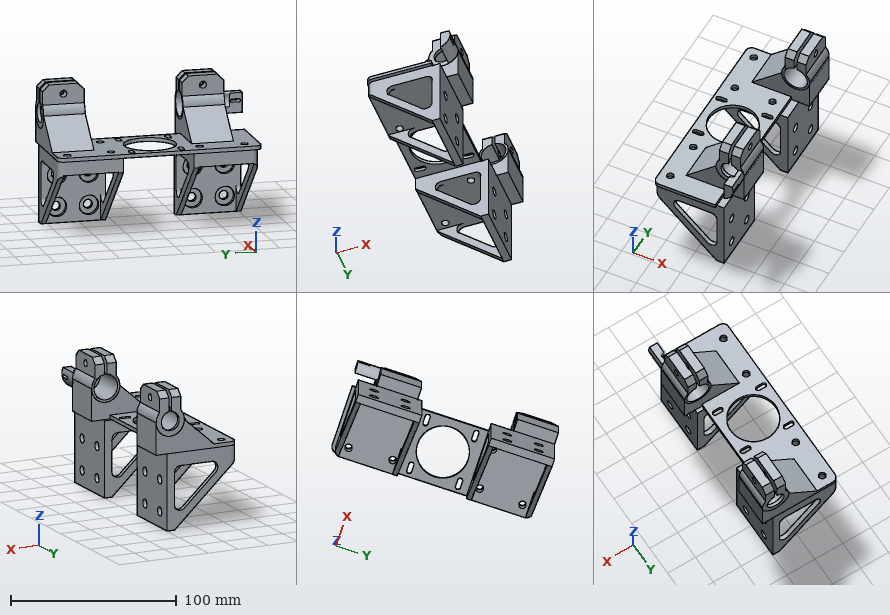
import cadquery as cq
import math


plate_width = 42.1
plate_thickness = 2.4
plate_left = -plate_width / 2
plate_right = plate_width / 2
plate_back = 62.5
plate_front = -64.7
corner_radius = 4.0
motor_hole_diameter = 32.0
motor_slot_spacing = 31.0
motor_slot_length = 7.1
motor_slot_width = 3.0
screw_hole_diameter = 4.5

corner_screw_x = -14.0
inner_screw_x = 12.8
corner_screw_y = 55.4
inner_screw_y = 27.7
screw_points = [
    (corner_screw_x, corner_screw_y),
    (corner_screw_x, -corner_screw_y),
    (-inner_screw_x, inner_screw_y),
    (-inner_screw_x, -inner_screw_y),
    (inner_screw_x, inner_screw_y),
]

clamp_diameter = 19.0
clamp_radius = clamp_diameter / 2
clamp_length = 26.0
clamp_pitch = 87.1
clamp_overhang = 12.4
wedge_right = plate_right + clamp_overhang
wedge_setback = 15.3
wedge_toe = plate_left + wedge_setback
clamp_x = wedge_right - clamp_radius
clamp_z = 20.3
back_clamp_y = plate_back - clamp_length / 2
front_clamp_y = back_clamp_y - clamp_pitch
bearing_diameter = 16.0
lip_diameter = 12.0
lip_thickness = 2.2
ear_width = 14.3
ear_top = 38.9
ear_chamfer = 4.0
ear_gap = 1.9
ear_hole_diameter = 4.2
ear_hole_drop = 6.0

leg_length = 40.5
leg_depth = 47.1
leg_height = 48.4
leg_wall = 5.0
leg_cheek = 3.0
leg_top_thickness = 8.4
leg_slope_start = 8.8
leg_right = plate_left + leg_depth
leg_inner_x = leg_right - leg_wall
window_radius = 4.0
bolt_diameter = 5.5
bolt_head_diameter = 12.0
bolt_head_depth = 2.5
bolt_spacing = 20.0
bolt_inset = 10.1
top_bolt_drop = 18.4

overall_length = 127.6
stop_front = plate_back - overall_length
stop_back = front_clamp_y - clamp_length / 2
stop_face_offset = 3.3
stop_top_offset = 3.6
stop_groove_length = 6.5
stop_groove_fillet = 1.0
stop_slot_length = 6.3
stop_slot_width = 1.9
stop_slot_drop = 1.3
stop_slot_inset = 4.3


def box(x0, x1, y0, y1, z0, z1):
    """Box between two opposite corners."""
    return cq.Workplane("XY").box(x1 - x0, y1 - y0, z1 - z0, centered=False).translate((x0, y0, z0))


def rod(diameter, y0, y1):
    """Cylinder on the clamp axis, from y0 to y1."""
    circle = cq.Workplane("XZ", origin=(clamp_x, y1, clamp_z)).circle(diameter / 2)
    return circle.extrude(y1 - y0)


def screw_holes(z0, z1):
    """Cutters for the vertical screw holes."""
    points = cq.Workplane("XY").workplane(offset=z0).pushPoints(screw_points)
    return points.circle(screw_hole_diameter / 2).extrude(z1 - z0)


def make_plate():
    """Flat plate with the motor opening, its four slots and the screw holes."""
    plate = box(plate_left, plate_right, plate_front, plate_back, 0, plate_thickness)
    plate = plate.edges("|Z and <X").fillet(corner_radius)
    through = cq.Workplane("XY")
    plate = plate.cut(through.circle(motor_hole_diameter / 2).extrude(plate_thickness))
    slots = through.rect(motor_slot_spacing, motor_slot_spacing, forConstruction=True).vertices()
    plate = plate.cut(slots.slot2D(motor_slot_length, motor_slot_width).extrude(plate_thickness))
    return plate.cut(screw_holes(0, plate_thickness))


def make_wedge(center_y):
    """Sloped block whose top is a half-round seat for the clamp ring."""
    outline = (
        cq.Workplane("XZ", origin=(0, center_y + clamp_length / 2, 0))
        .moveTo(wedge_toe, 0)
        .lineTo(wedge_toe, plate_thickness)
        .lineTo(clamp_x - clamp_radius, clamp_z)
        .threePointArc((clamp_x, clamp_z - clamp_radius), (wedge_right, clamp_z))
        .lineTo(wedge_right, 0)
        .close()
    )
    return outline.extrude(clamp_length)


def make_base():
    """Plate with both wedges as one piece."""
    base = make_plate()
    for center_y in (back_clamp_y, front_clamp_y):
        base = base.union(make_wedge(center_y))
    return base


def make_clamp(center_y, lip_side):
    """Split ring with two ears; lip_side is +1 or -1 for the Y end that keeps the lip."""
    y0 = center_y - clamp_length / 2
    y1 = center_y + clamp_length / 2
    ears = box(clamp_x - ear_width / 2, clamp_x + ear_width / 2, y0, y1, clamp_z, ear_top)
    ears = ears.edges("|X and >Z").chamfer(ear_chamfer)
    clamp = rod(clamp_diameter, y0, y1).union(ears)
    clamp = clamp.cut(rod(lip_diameter, y0, y1))
    bearing_shift = -lip_side * lip_thickness
    bearing = rod(bearing_diameter, y0, y1).translate((0, bearing_shift, 0))
    gap = box(clamp_x - ear_gap / 2, clamp_x + ear_gap / 2, y0, y1, clamp_z, ear_top)
    bolt = (
        cq.Workplane("YZ", origin=(clamp_x - ear_width / 2, center_y, ear_top - ear_hole_drop))
        .circle(ear_hole_diameter / 2)
        .extrude(ear_width)
    )
    return clamp.cut(bearing).cut(gap).cut(bolt)


def make_leg(side):
    """Triangular leg; side is +1 for the back leg and -1 for its mirror image in front."""
    outer_y = plate_back
    inner_y = plate_back - leg_length
    profile = [
        (plate_left, 0),
        (leg_right, 0),
        (leg_right, -leg_height),
        (leg_inner_x, -leg_height),
        (plate_left, -leg_slope_start),
    ]
    leg = cq.Workplane("XZ", origin=(0, outer_y, 0)).polyline(profile).close().extrude(leg_length)
    leg = leg.edges("|Z and <X and >Y").fillet(corner_radius)

    slope = (leg_height - leg_slope_start) / (leg_inner_x - plate_left)
    rim_height = leg_wall * math.hypot(1, slope)
    window_bottom = -leg_height + rim_height
    window_left = leg_inner_x - (-leg_top_thickness - window_bottom) / slope
    window_points = [
        (window_left, -leg_top_thickness),
        (leg_inner_x, -leg_top_thickness),
        (leg_inner_x, window_bottom),
    ]
    window = cq.Workplane("XZ", origin=(0, outer_y, 0)).polyline(window_points).close()
    window = window.extrude(leg_length).edges("|Y").fillet(window_radius)

    cavity = box(
        plate_left, leg_inner_x, inner_y + leg_cheek, outer_y - leg_cheek, -leg_height, -leg_top_thickness
    )
    cavity = cavity.edges("|Y and >X and >Z").fillet(window_radius)
    leg = leg.cut(window).cut(cavity)

    for column in range(2):
        for row in range(2):
            y = outer_y - bolt_inset - column * bolt_spacing
            z = -top_bolt_drop - row * bolt_spacing
            face = cq.Workplane("YZ", origin=(leg_inner_x, y, z))
            leg = leg.cut(face.circle(bolt_diameter / 2).extrude(leg_wall))
            leg = leg.cut(face.circle(bolt_head_diameter / 2).extrude(bolt_head_depth))

    if side < 0:
        leg = leg.mirror("XZ")
    return leg.cut(screw_holes(-leg_top_thickness, 0))


def make_end_stop():
    """Segment of the clamp cylinder in front of the front clamp, grooved by the rod bore."""
    face_x = clamp_x + stop_face_offset
    top_z = clamp_z + stop_top_offset
    stop = rod(clamp_diameter, stop_front, stop_back).intersect(
        box(face_x, wedge_right, stop_front, stop_back, clamp_z - clamp_radius, top_z)
    )
    groove = rod(lip_diameter, stop_back - stop_groove_length, stop_back)
    groove = groove.faces("<Y").edges().fillet(stop_groove_fillet)
    stop = stop.cut(groove)

    rim_x = clamp_x + math.sqrt((lip_diameter / 2) ** 2 - stop_top_offset**2)
    rim_point = (rim_x, stop_back - stop_groove_length / 2, top_z)
    stop = stop.edges(cq.selectors.NearestToPointSelector(rim_point)).fillet(stop_groove_fillet)

    slot = (
        cq.Workplane("YZ", origin=(face_x, stop_front + stop_slot_inset, clamp_z - stop_slot_drop))
        .slot2D(stop_slot_length, stop_slot_width)
        .extrude(clamp_radius)
    )
    return stop.cut(slot)


base = make_base()
legs = [make_leg(side) for side in (1, -1)]
clamps = [make_clamp(back_clamp_y, 1), make_clamp(front_clamp_y, -1)]
end_stop = make_end_stop()

result = cq.Compound.makeCompound(
    [
        base.val(),
        *[leg.val() for leg in legs],
        *[clamp.val() for clamp in clamps],
        end_stop.val(),
    ]
)